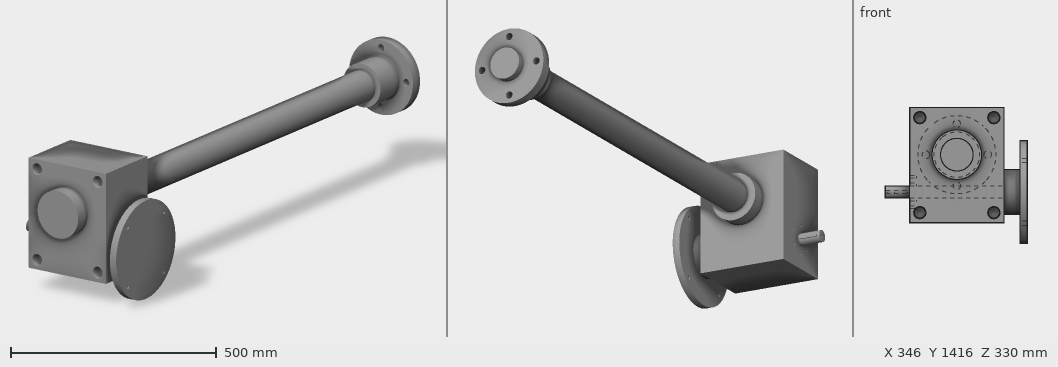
import cadquery as cq
import math


box_width = 230.0
box_depth = 175.0
box_height = 280.0
box_left = -box_width / 2
box_right = box_width / 2
box_front = -box_depth / 2
box_back = box_depth / 2
box_top = box_width / 2
box_center_z = box_top - box_height / 2

boss_diameter = 120.0
front_boss_length = 40.0
back_boss_length = 42.0
front_boss_end = box_front - front_boss_length
back_boss_end = box_back + back_boss_length

mount_hole_diameter = 27.0
mount_hole_mouth = 30.0
mount_hole_spacing_x = 180.0
mount_hole_spacing_z = 231.0
mount_hole_depth = 50.0
drill_point_angle = 118

cover_hole_diameter = 6.7
cover_hole_circle = 74.0
cover_hole_count = 6
cover_hole_depth = 17.0

screw_diameter = 80.0
screw_length = 1416
screw_end = front_boss_end + screw_length

nut_end_offset = 23.0
nut_flange_diameter = 190.0
nut_flange_thickness = 30.0
nut_hub_diameter = 110.0
nut_hub_length = 81.0
nut_root_fillet = 3.5
nut_hole_diameter = 18.0
nut_hole_circle = 150.0
nut_hole_count = 4

worm_z = -90.0
shaft_diameter = 30.0
shaft_reach = 60.0
shaft_left = box_left - shaft_reach
center_hole_diameter = 8.4
center_hole_depth = 23.0
center_hole_mouth = 10.0
key_width = 8.1
key_length = 50.0
key_rise = 3.0
key_end_gap = 5.0

neck_diameter = 110.0
neck_length = 38.0
motor_flange_diameter = 250.0
motor_flange_thickness = 18.0
motor_hole_diameter = 10.0
motor_hole_circle = 215.0
motor_hole_count = 4


def cylinder_y(diameter, start, end, x=0, z=0):
    """Solid cylinder along Y from start to end."""
    axis_start = cq.Vector(x, start, z)
    return cq.Workplane(cq.Solid.makeCylinder(diameter / 2, end - start, axis_start, cq.Vector(0, 1, 0)))


def cylinder_x(diameter, start, end, y=0, z=worm_z):
    """Solid cylinder along X from start to end."""
    axis_start = cq.Vector(start, y, z)
    return cq.Workplane(cq.Solid.makeCylinder(diameter / 2, end - start, axis_start, cq.Vector(1, 0, 0)))


def circle_points(circle_diameter, count, first_angle):
    """Evenly spaced points on a circle, starting at first_angle in degrees."""
    angles = [math.radians(first_angle + 360 / count * i) for i in range(count)]
    return [(circle_diameter / 2 * math.cos(a), circle_diameter / 2 * math.sin(a)) for a in angles]


def countersink(mouth_diameter, hole_diameter, center, direction):
    """45-degree cone from a hole's mouth down to the hole's own diameter."""
    depth = (mouth_diameter - hole_diameter) / 2
    return cq.Workplane(cq.Solid.makeCone(mouth_diameter / 2, hole_diameter / 2, depth, center, direction))


def drilled_hole(x, z):
    """Blind hole into the front face of the box, with a countersunk mouth and a conical bottom."""
    radius = mount_hole_diameter / 2
    point_length = radius / math.tan(math.radians(drill_point_angle / 2))
    hole_bottom = box_front + mount_hole_depth
    cone = cq.Solid.makeCone(radius, 0, point_length, cq.Vector(x, hole_bottom, z), cq.Vector(0, 1, 0))
    hole = cylinder_y(mount_hole_diameter, box_front, hole_bottom, x, z).union(cq.Workplane(cone))
    mouth_center = cq.Vector(x, box_front, z)
    return hole.union(countersink(mount_hole_mouth, mount_hole_diameter, mouth_center, cq.Vector(0, 1, 0)))


def make_housing():
    housing = cq.Workplane("XY").box(box_width, box_depth, box_height)
    housing = housing.translate((0, 0, box_center_z))
    housing = housing.union(cylinder_y(boss_diameter, front_boss_end, back_boss_end))
    housing = housing.cut(cylinder_y(screw_diameter, front_boss_end, back_boss_end))
    housing = housing.cut(cylinder_x(shaft_diameter, box_left, box_right))
    for x in (-mount_hole_spacing_x / 2, mount_hole_spacing_x / 2):
        for z in (box_center_z - mount_hole_spacing_z / 2, box_center_z + mount_hole_spacing_z / 2):
            housing = housing.cut(drilled_hole(x, z))
    for y, z in circle_points(cover_hole_circle, cover_hole_count, 90):
        hole = cylinder_x(cover_hole_diameter, box_left, box_left + cover_hole_depth, y, worm_z + z)
        housing = housing.cut(hole)
    return housing


def make_screw():
    return cylinder_y(screw_diameter, front_boss_end, screw_end)


def make_nut():
    flange_back = screw_end - nut_end_offset
    flange_front = flange_back - nut_flange_thickness
    hub_front = flange_front - nut_hub_length
    nut = cylinder_y(nut_flange_diameter, flange_front, flange_back)
    nut = nut.union(cylinder_y(nut_hub_diameter, hub_front, flange_front))
    root = cq.selectors.RadiusNthSelector(0)
    nut = nut.faces("<Y[1]").edges(root).fillet(nut_root_fillet)
    nut = nut.cut(cylinder_y(screw_diameter, hub_front, flange_back))
    for x, z in circle_points(nut_hole_circle, nut_hole_count, 0):
        nut = nut.cut(cylinder_y(nut_hole_diameter, flange_front, flange_back, x, z))
    return nut


def make_worm_shaft():
    shaft_tip = cq.Vector(shaft_left, 0, worm_z)
    shaft = cylinder_x(shaft_diameter, shaft_left, box_right)
    key_left = shaft_left + key_end_gap
    key_center = (key_left + key_length / 2, 0, worm_z)
    key_reach = shaft_diameter / 2 + key_rise
    key = cq.Workplane("XZ", origin=key_center).slot2D(key_length, key_width).extrude(-key_reach)
    shaft = shaft.union(key)
    shaft = shaft.cut(cylinder_x(center_hole_diameter, shaft_left, shaft_left + center_hole_depth))
    return shaft.cut(countersink(center_hole_mouth, center_hole_diameter, shaft_tip, cq.Vector(1, 0, 0)))


def make_motor_flange():
    flange_left = box_right + neck_length
    flange_right = flange_left + motor_flange_thickness
    flange = cylinder_x(neck_diameter, box_right, flange_left)
    flange = flange.union(cylinder_x(motor_flange_diameter, flange_left, flange_right))
    for y, z in circle_points(motor_hole_circle, motor_hole_count, 45):
        flange = flange.cut(cylinder_x(motor_hole_diameter, flange_left, flange_right, y, worm_z + z))
    return flange


housing = make_housing()
screw = make_screw()
nut = make_nut()
worm_shaft = make_worm_shaft()
motor_flange = make_motor_flange()

result = cq.Compound.makeCompound(
    [housing.val(), screw.val(), nut.val(), worm_shaft.val(), motor_flange.val()]
)